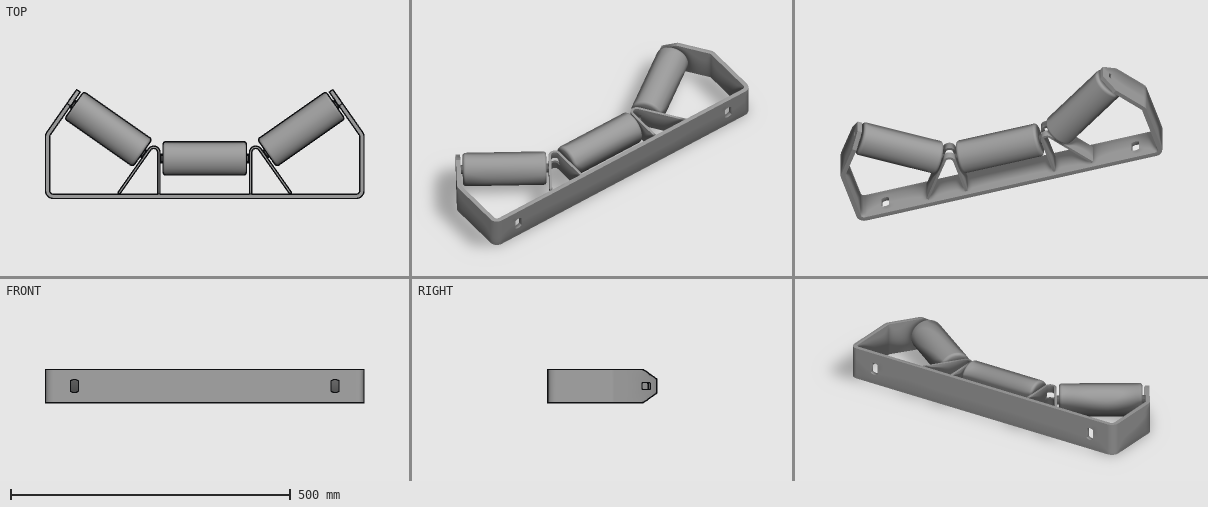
import cadquery as cq
import math

FRAME_LENGTH = 570.0
FRAME_DEPTH = 195.0
FRAME_WIDTH = 60.0
TROUGH_ANGLE = 35.0

FRAME_THICKNESS = 8.0
FRAME_BEND_RADIUS = 14.0
SIDE_TOP_Y = 110.5
TIP_WIDTH = 25.5
TAPER_LENGTH = 30.0
MOUNT_SLOT_LENGTH = 23.5
MOUNT_SLOT_WIDTH = 14.0
MOUNT_SLOT_SPACING = 466.0

SADDLE_THICKNESS = 4.5
SADDLE_WIDTH = 40.0
SADDLE_BEND_RADIUS = 11.5
SADDLE_TOP_Y = 94.0
SADDLE_SPAN = 159.5

ROLLER_DIAMETER = 60.0
ROLLER_LENGTH = 149.5
ROLLER_EDGE_FILLET = 5.0
CENTER_ROLLER_Y = 72.0
SHAFT_DIAMETER = 16.0
SHAFT_FLATS = 12.0
SHAFT_SHOULDER = 3.5
SHAFT_WIDTH = 14.0
FLAT_EDGE_FILLET = 2.0
SHAFT_SLOT_LENGTH = 19.0
WING_SHIFT = 3.0

HALF_LENGTH = FRAME_LENGTH / 2
TILT = math.radians(TROUGH_ANGLE)
ARM = cq.Vector(math.sin(TILT), math.cos(TILT))
OUTWARD = cq.Vector(-math.cos(TILT), math.sin(TILT))

SIDE_BEND = cq.Vector(-HALF_LENGTH + FRAME_BEND_RADIUS, SIDE_TOP_Y)
ARM_LENGTH = (FRAME_DEPTH - SIDE_BEND.y - FRAME_BEND_RADIUS * OUTWARD.y) / ARM.y
ARM_TIP = SIDE_BEND + OUTWARD * FRAME_BEND_RADIUS + ARM * ARM_LENGTH

SADDLE_FOLD = cq.Vector(-SADDLE_SPAN / 2 - SADDLE_BEND_RADIUS, SADDLE_TOP_Y - SADDLE_BEND_RADIUS)
FOLD_INNER_RADIUS = SADDLE_BEND_RADIUS - SADDLE_THICKNESS
LEG_LENGTH = (SADDLE_FOLD.y + FOLD_INNER_RADIUS * OUTWARD.y - FRAME_THICKNESS) / ARM.y

ARM_FACE = SIDE_BEND.dot(OUTWARD) + FRAME_BEND_RADIUS - FRAME_THICKNESS
LEG_FACE = SADDLE_FOLD.dot(OUTWARD) + SADDLE_BEND_RADIUS
WING_CENTER = OUTWARD * ((ARM_FACE + LEG_FACE) / 2) + ARM * WING_SHIFT
CENTER_ROLLER = cq.Vector(0, CENTER_ROLLER_Y)
CENTER_REACH = SADDLE_SPAN / 2 + SADDLE_THICKNESS
WING_SPAN = ARM_FACE - LEG_FACE
SLOT_REACH = SADDLE_SPAN / 2 + SADDLE_BEND_RADIUS


def mirror_x(body):
    return body.mirror("YZ")


def on_side(left_body, side):
    """The left-hand body for side -1, its mirror image for side +1."""
    return left_body if side < 0 else mirror_x(left_body)


def place(body, center, tilt):
    return body.rotate((0, 0, 0), (0, 0, 1), tilt).translate(center)


def on_bend(bend_center, direction, radius):
    """Plane coordinates of the point at a radius from a bend center."""
    return (bend_center + direction * radius).toTuple()[:2]


def flat_bar(width, start, length):
    """Bar along X with softened long edges; its flat top and bottom are SHAFT_FLATS apart."""
    return (
        cq.Workplane("YZ")
        .workplane(offset=start)
        .rect(width, SHAFT_FLATS)
        .extrude(length)
        .edges("|X")
        .fillet(FLAT_EDGE_FILLET)
    )


def shaft_slot(center, tilt, slot_length):
    """Cutter for a slot that seats the shaft end at its lower edge, for both ends of the shaft."""
    slide = (slot_length - SHAFT_WIDTH) / 2
    bar = flat_bar(slot_length, -SLOT_REACH, 2 * SLOT_REACH).translate((0, slide, 0))
    return place(bar, center, tilt)


def bent_strip():
    """Left half of the frame strip: back bar, rounded corner, side and inclined arm."""
    outer = FRAME_BEND_RADIUS
    inner = FRAME_BEND_RADIUS - FRAME_THICKNESS
    corner = cq.Vector(-HALF_LENGTH + FRAME_BEND_RADIUS, FRAME_BEND_RADIUS)
    corner_mid = cq.Vector(-math.sqrt(0.5), -math.sqrt(0.5))
    bend_mid = cq.Vector(-math.cos(TILT / 2), math.sin(TILT / 2))
    left = cq.Vector(-1, 0)
    down = cq.Vector(0, -1)

    return (
        cq.Workplane("XY")
        .workplane(offset=-FRAME_WIDTH / 2)
        .moveTo(0, 0)
        .lineTo(*on_bend(corner, down, outer))
        .threePointArc(on_bend(corner, corner_mid, outer), on_bend(corner, left, outer))
        .lineTo(*on_bend(SIDE_BEND, left, outer))
        .threePointArc(on_bend(SIDE_BEND, bend_mid, outer), on_bend(SIDE_BEND, OUTWARD, outer))
        .lineTo(ARM_TIP.x, ARM_TIP.y)
        .lineTo(*on_bend(ARM_TIP, OUTWARD, -FRAME_THICKNESS))
        .lineTo(*on_bend(SIDE_BEND, OUTWARD, inner))
        .threePointArc(on_bend(SIDE_BEND, bend_mid, inner), on_bend(SIDE_BEND, left, inner))
        .lineTo(*on_bend(corner, left, inner))
        .threePointArc(on_bend(corner, corner_mid, inner), on_bend(corner, down, inner))
        .lineTo(0, FRAME_THICKNESS)
        .close()
        .extrude(FRAME_WIDTH)
    )


def tip_taper():
    """Cutter for the two sloping corners at the tip of the left arm."""
    arm_plane = cq.Plane(origin=ARM_TIP.toTuple(), xDir=ARM.toTuple(), normal=OUTWARD.toTuple())
    half_width = FRAME_WIDTH / 2
    corner = (
        cq.Workplane(arm_plane)
        .polyline([(0, TIP_WIDTH / 2), (0, half_width), (-TAPER_LENGTH, half_width)])
        .close()
        .extrude(-FRAME_THICKNESS)
    )
    return corner.union(corner.mirror("XY"))


def mount_slot():
    """Cutter for a fixing slot through the back bar: a round hole narrowed by two straight sides."""
    hole = cq.Workplane("XZ").circle(MOUNT_SLOT_LENGTH / 2).extrude(-FRAME_THICKNESS)
    sides = cq.Workplane("XZ").rect(MOUNT_SLOT_WIDTH, MOUNT_SLOT_LENGTH).extrude(-FRAME_THICKNESS)
    return hole.intersect(sides)


def make_frame():
    half = bent_strip().cut(tip_taper())
    half = half.cut(shaft_slot(WING_CENTER, -TROUGH_ANGLE, SHAFT_SLOT_LENGTH))
    frame = half.union(mirror_x(half))
    for x in (-MOUNT_SLOT_SPACING / 2, MOUNT_SLOT_SPACING / 2):
        frame = frame.cut(mount_slot().translate((x, 0, 0)))
    return frame


def drop_in_slot():
    """Cutter running from one shaft seat over the fold to the other, so that shafts drop in."""
    seat_depth = SHAFT_WIDTH / 2 + FLAT_EDGE_FILLET
    upright_length = SADDLE_FOLD.y - CENTER_ROLLER.y + seat_depth
    inclined_length = (SADDLE_FOLD - WING_CENTER).dot(ARM) + seat_depth
    fold = (
        cq.Workplane("XY")
        .center(SADDLE_FOLD.x, SADDLE_FOLD.y)
        .circle(SADDLE_BEND_RADIUS)
        .extrude(SHAFT_FLATS / 2, both=True)
    )
    upright = shaft_slot(CENTER_ROLLER, 0, upright_length)
    inclined = shaft_slot(WING_CENTER, -TROUGH_ANGLE, inclined_length)
    return fold.union(upright).union(inclined)


def make_saddle(side):
    """Saddle of one side: upright leg for the center roller, folded over to an inclined leg."""
    right = cq.Vector(1, 0)
    fold_mid = (right + OUTWARD).normalized()

    def at(direction, radius, slide=0.0):
        return on_bend(SADDLE_FOLD - ARM * slide, direction, radius)

    saddle = (
        cq.Workplane("XY")
        .workplane(offset=-SADDLE_WIDTH / 2)
        .moveTo(-SADDLE_SPAN / 2, FRAME_THICKNESS)
        .lineTo(*at(right, SADDLE_BEND_RADIUS))
        .threePointArc(at(fold_mid, SADDLE_BEND_RADIUS), at(OUTWARD, SADDLE_BEND_RADIUS))
        .lineTo(*at(OUTWARD, SADDLE_BEND_RADIUS, LEG_LENGTH))
        .lineTo(*at(OUTWARD, FOLD_INNER_RADIUS, LEG_LENGTH))
        .lineTo(*at(OUTWARD, FOLD_INNER_RADIUS))
        .threePointArc(at(fold_mid, FOLD_INNER_RADIUS), at(right, FOLD_INNER_RADIUS))
        .lineTo(-SADDLE_SPAN / 2 - SADDLE_THICKNESS, FRAME_THICKNESS)
        .close()
        .extrude(SADDLE_WIDTH)
    )
    return on_side(saddle.cut(drop_in_slot()), side)


def make_roller(center, tilt, left_reach, right_reach):
    """Roller with its shaft; the shaft ends lie at the given distances from the middle."""
    shell = (
        cq.Workplane("YZ")
        .workplane(offset=-ROLLER_LENGTH / 2)
        .circle(ROLLER_DIAMETER / 2)
        .extrude(ROLLER_LENGTH)
        .edges()
        .fillet(ROLLER_EDGE_FILLET)
    )
    round_length = ROLLER_LENGTH + 2 * SHAFT_SHOULDER
    shaft = (
        cq.Workplane("YZ")
        .workplane(offset=-round_length / 2)
        .circle(SHAFT_DIAMETER / 2)
        .extrude(round_length)
    )
    flats = flat_bar(SHAFT_WIDTH, -left_reach, left_reach + right_reach)
    return place(shell.union(shaft).union(flats), center, tilt)


def make_wing_roller(side):
    """Tilted roller between the frame arm and the inclined saddle leg of one side."""
    arm_reach = WING_SPAN / 2 + FRAME_THICKNESS
    saddle_reach = WING_SPAN / 2 + SADDLE_THICKNESS
    return on_side(make_roller(WING_CENTER, -TROUGH_ANGLE, arm_reach, saddle_reach), side)


frame = make_frame()
center_roller = make_roller(CENTER_ROLLER, 0, CENTER_REACH, CENTER_REACH)
bodies = [frame, center_roller]
for side in (-1, 1):
    bodies.append(make_saddle(side))
    bodies.append(make_wing_roller(side))

result = cq.Compound.makeCompound([body.solids().val() for body in bodies])